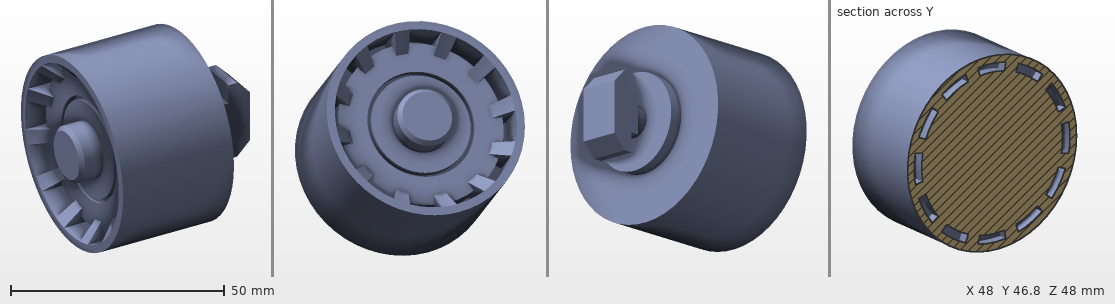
import cadquery as cq


drum_radius = 24.0
drum_length = 30.0
rim_wall = 2.0
rim_radius = drum_radius - rim_wall
recess_depth = 4.5

outer_groove_inner_radius = 20.0
outer_groove_depth = 5.0
inner_groove_outer_radius = 13.0
inner_groove_inner_radius = 12.0
inner_groove_depth = 2.0

rib_count = 12
rib_angle = 10.0
rib_pitch = 360.0 / rib_count
rib_foot_radius = rim_radius - recess_depth
rib_wall_overlap = rim_wall / 2

pin_radius = 7.0
pin_projection = 1.5
pin_chamfer = 1.0

shoulder_radius = 12.0
shoulder_length = 3.4
neck_radius = 4.0
neck_length = 3.9
head_width = 10.0
head_height = 19.8
head_chamfer = 3.5
head_thickness = 5.8
step_height = 10.0
step_thickness = 2.2

shoulder_end = drum_length + shoulder_length
step_start = shoulder_end + neck_length
head_start = step_start + step_thickness
head_end = head_start + head_thickness


def cylinder(radius, start, end):
    """Solid cylinder on the Y axis between two Y positions."""
    plane = cq.Workplane("XZ", origin=(0, start, 0))
    return plane.circle(radius).extrude(start - end)


def ring(outer_radius, inner_radius, start, end):
    return cylinder(outer_radius, start, end).cut(cylinder(inner_radius, start, end))


def make_drum():
    outer_groove_end = recess_depth + outer_groove_depth
    inner_groove_end = recess_depth + inner_groove_depth
    drum = cylinder(drum_radius, 0, drum_length)
    drum = drum.cut(cylinder(rim_radius, 0, recess_depth))
    drum = drum.cut(ring(rim_radius, outer_groove_inner_radius, recess_depth, outer_groove_end))
    return drum.cut(
        ring(inner_groove_outer_radius, inner_groove_inner_radius, recess_depth, inner_groove_end)
    )


def make_rib(angle):
    """Wedge with radial sides and a 45 degree conical top, filling the outer groove beneath it."""
    groove_end = recess_depth + outer_groove_depth
    outer_radius = rim_radius + rib_wall_overlap
    profile = [
        (rib_foot_radius, recess_depth),
        (rim_radius, 0),
        (outer_radius, 0),
        (outer_radius, groove_end),
        (rib_foot_radius, groove_end),
    ]
    rib = cq.Workplane("XY").polyline(profile).close().revolve(rib_angle, (0, 0, 0), (0, 1, 0))
    return rib.rotate((0, 0, 0), (0, 1, 0), angle - rib_angle / 2)


def make_pin():
    pin = cylinder(pin_radius, -pin_projection, recess_depth)
    return pin.faces("<Y").chamfer(pin_chamfer)


def make_head():
    depth = head_end - head_start
    head = cq.Workplane("XY").box(head_width, depth, head_height)
    head = head.faces(">Y").edges("|X").chamfer(head_chamfer)
    head = head.translate((0, head_start + depth / 2, 0))
    step = cq.Workplane("XY").box(head_width, step_thickness, step_height)
    return head.union(step.translate((0, step_start + step_thickness / 2, 0)))


result = make_drum()
for index in range(rib_count):
    result = result.union(make_rib((index + 0.5) * rib_pitch))
result = result.union(make_pin())
result = result.union(cylinder(shoulder_radius, drum_length, shoulder_end))
result = result.union(cylinder(neck_radius, shoulder_end, step_start))
result = result.union(make_head())